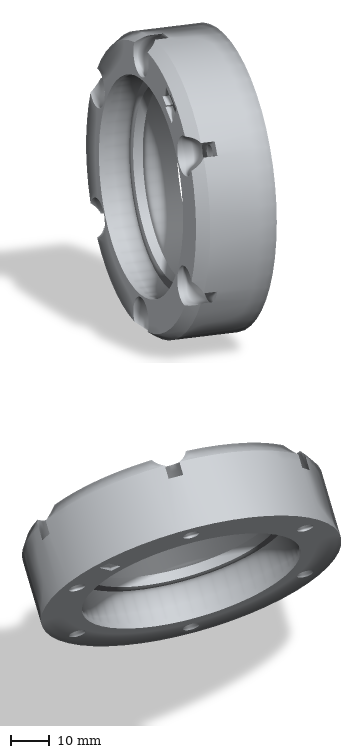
import cadquery as cq

outer_diameter = 80.0
width = 21.5
front_y = -width / 2
chamfer_depth = 3.1
chamfer_radial = 2.0

land_diameter = 53.0
recess_diameter = 58.2
front_recess_depth = 8.4
land_width = 2.6

screw_count = 6
screw_circle_radius = 35.0
screw_hole_diameter = 4.3
counterbore_diameter = 10.6
counterbore_depth = 6.9

pocket_angle = 55.6
pocket_radius = 34.3
narrow_length = 3.0
narrow_height = 4.2
wide_length = 5.3
wide_height = 5.5
slot_length = 2.9
pocket_depth = 2.0


def disc(diameter, start, length):
    """Cylinder on the ring axis, starting at a depth behind the front face."""
    plane = cq.Workplane("XZ", origin=(0, front_y + start, 0))
    return plane.circle(diameter / 2).extrude(-length)


def make_ring():
    half = outer_diameter / 2
    back_y = front_y + width
    body = (
        cq.Workplane("XY")
        .moveTo(0, front_y)
        .lineTo(half - chamfer_radial, front_y)
        .lineTo(half, front_y + chamfer_depth)
        .lineTo(half, back_y)
        .lineTo(0, back_y)
        .close()
        .revolve(360, (0, 0, 0), (0, 1, 0))
    )
    back_recess_start = front_recess_depth + land_width
    body = body.cut(disc(land_diameter, 0, width))
    body = body.cut(disc(recess_diameter, 0, front_recess_depth))
    return body.cut(disc(recess_diameter, back_recess_start, width - back_recess_start))


def screw_cutters(diameter, depth):
    return (
        cq.Workplane("XZ", origin=(0, front_y, 0))
        .polarArray(screw_circle_radius, 90, 360, screw_count)
        .circle(diameter / 2)
        .extrude(-depth)
    )


def pocket_box(start, length, height, depth):
    """Box along the clockwise tangent, in a frame whose radius points to +X."""
    corner = (pocket_radius - height / 2, front_y, -start - length)
    box = cq.Workplane("XY").box(height, depth, length, centered=False).translate(corner)
    return box.rotate((0, 0, 0), (0, 1, 0), -pocket_angle)


def make_pocket():
    wide_start = (narrow_length - wide_length) / 2
    narrow = pocket_box(wide_start - narrow_length, narrow_length, narrow_height, pocket_depth)
    wide = pocket_box(wide_start, wide_length, wide_height, pocket_depth)
    slot = pocket_box(wide_start + wide_length - slot_length, slot_length, wide_height, width)
    return narrow.union(wide).union(slot)


result = (
    make_ring()
    .cut(screw_cutters(screw_hole_diameter, width))
    .cut(screw_cutters(counterbore_diameter, counterbore_depth))
    .cut(make_pocket())
)